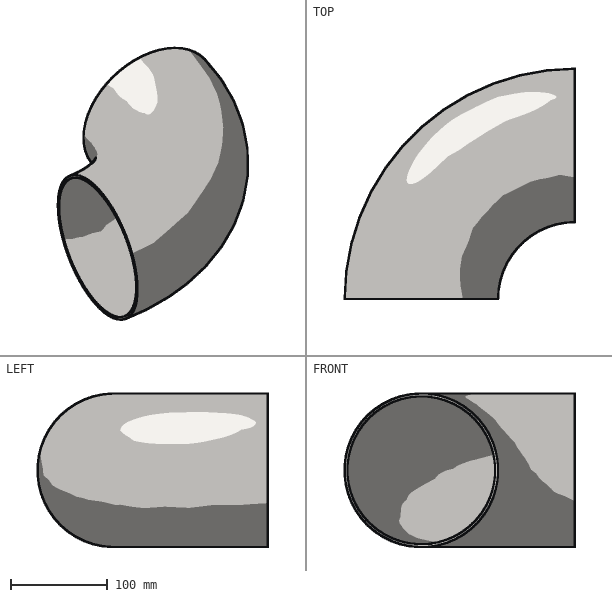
import cadquery as cq

overall_size = 238.5
outer_diameter = 159.0
wall_thickness = 3.0
bend_angle = 90.0

outer_radius = outer_diameter / 2
inner_radius = outer_radius - wall_thickness
bend_radius = overall_size - outer_radius

pipe_section = cq.Workplane("XZ").circle(outer_radius).circle(inner_radius)

axis_start = (bend_radius, 2.5, 0)
axis_end = (bend_radius, 0, 0)
result = pipe_section.revolve(bend_angle, axis_start, axis_end)